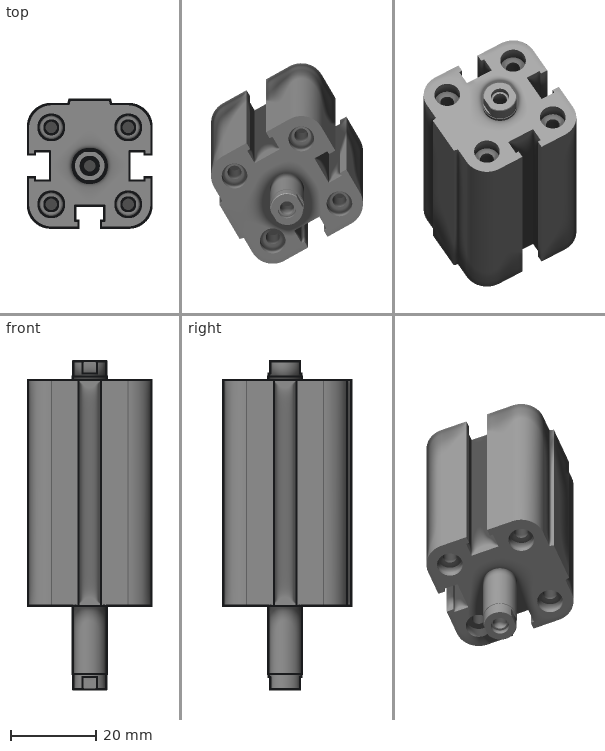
import cadquery as cq

total_height = 77.0

housing_width = 29.0
housing_bottom = 19.6
housing_top = 72.5
half_width = housing_width / 2
cap_height = 12.4

pad_height = 1.0
pad_root_width = 10.0
pad_crest_width = 9.55

slot_mouth_width = 5.2
slot_inner_width = 6.8
slot_lip = 1.7
slot_depth = 5.15

screw_pitch = 18.0
screw_hole_diameter = 3.2
counterbore_diameter = 6.0
counterbore_depth = 3.6
corner_radius = half_width - screw_pitch / 2

rod_diameter = 8.0
rod_end_diameter = 7.8
rod_end_length = 3.6
flat_length = 2.9
across_flats = 7.0
rod_end_chamfer = 0.15

bore_diameter = 3.2
bore_depth = 10.0
bore_mouth_diameter = 4.2
bore_mouth_depth = 1.5


def both_ends(tool, mid_height):
    """Pair a cutting tool with its mirror image about a horizontal plane."""
    return tool, tool.mirror("XY", (0, 0, mid_height))


def housing_prism(points):
    """Extrude a closed outline over the full height of the housing."""
    return (
        cq.Workplane("XY", origin=(0, 0, housing_bottom))
        .polyline(points)
        .close()
        .extrude(housing_top - housing_bottom)
    )


def make_pad():
    """Pad on the +Y side, rooted inside the housing by a wedge that reaches the Z axis."""
    return housing_prism([
        (-pad_root_width / 2, half_width),
        (-pad_crest_width / 2, half_width + pad_height),
        (pad_crest_width / 2, half_width + pad_height),
        (pad_root_width / 2, half_width),
        (0, 0),
    ])


def make_slot():
    """T-slot on the -Y side, along the full height of the housing."""
    mouth = slot_mouth_width / 2
    inner = slot_inner_width / 2
    face = -half_width
    return housing_prism([
        (-mouth, face),
        (-mouth, face + slot_lip),
        (-inner, face + slot_lip),
        (-inner, face + slot_depth),
        (inner, face + slot_depth),
        (inner, face + slot_lip),
        (mouth, face + slot_lip),
        (mouth, face),
    ])


def make_screw_holes():
    """Counterbored holes sunk from the top face, down through one end cap."""
    top = cq.Workplane("XY", origin=(0, 0, housing_top)).rarray(screw_pitch, screw_pitch, 2, 2)
    holes = top.circle(screw_hole_diameter / 2).extrude(-cap_height)
    counterbores = top.circle(counterbore_diameter / 2).extrude(-counterbore_depth)
    return holes.union(counterbores)


def make_housing():
    """Housing with its pad, T-slots, screw holes and the bore that guides the rod."""
    height = housing_top - housing_bottom
    base = cq.Workplane("XY", origin=(0, 0, housing_bottom))
    body = base.rect(housing_width, housing_width).extrude(height).edges("|Z").fillet(corner_radius)
    body = body.union(make_pad())

    for angle in (-90, 0, 90):
        body = body.cut(make_slot().rotate((0, 0, 0), (0, 0, 1), angle))

    for holes in both_ends(make_screw_holes(), (housing_bottom + housing_top) / 2):
        body = body.cut(holes)

    rod_bore = base.circle(rod_diameter / 2).extrude(height)
    return body.cut(rod_bore)


def make_end_flats():
    """Material removed from the upper rod end to leave two flats facing -Y and +Y."""
    top = cq.Workplane("XY", origin=(0, 0, total_height))
    outside = top.rect(rod_diameter, rod_diameter).extrude(-flat_length)
    between = top.rect(rod_diameter, across_flats).extrude(-flat_length)
    return outside.cut(between)


def make_end_bore():
    """Blind bore with a wider mouth in the upper rod end."""
    top = cq.Workplane("XY", origin=(0, 0, total_height))
    bore = top.circle(bore_diameter / 2).extrude(-bore_depth)
    mouth = top.circle(bore_mouth_diameter / 2).extrude(-bore_mouth_depth)
    return bore.union(mouth)


def make_rod():
    """Rod with identical stepped, flatted and bored ends."""
    ends = cq.Workplane("XY").circle(rod_end_diameter / 2).extrude(total_height)
    ends = ends.faces("<Z or >Z").chamfer(rod_end_chamfer)
    shank = (
        cq.Workplane("XY", origin=(0, 0, rod_end_length))
        .circle(rod_diameter / 2)
        .extrude(total_height - 2 * rod_end_length)
    )
    body = ends.union(shank)
    for tool in (make_end_flats(), make_end_bore()):
        for cutter in both_ends(tool, total_height / 2):
            body = body.cut(cutter)
    return body


housing = make_housing()
rod = make_rod()

result = cq.Compound.makeCompound([housing.solids().val(), rod.solids().val()])